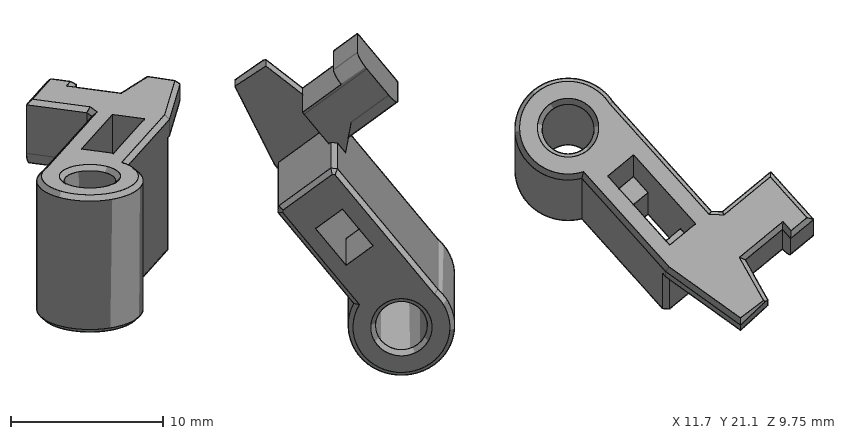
import cadquery as cq
import math

height = 9.75
chamfer = 0.32

eye_radius = 3.5
bore_diameter = 3.4

body_left = -3.45
body_right = 1.52
body_end = 11.6

arm_tip = -8.18
arm_front = 10.9
arm_back = 15.22
arm_depth = 4.76
arm_fillet = 1.0
lip_right = -6.18
shelf_back = 14.4
gusset_x = -3.98
gusset_y = 10.41

finger_thickness = 1.5
finger_foot = -2.97
finger_left = -2.3
finger_left_end = 17.45
finger_right = 0.2
finger_end = 17.58
finger_bevel_left = 0.08

slot_left = -2.05
slot_right = 0.2
slot_start = 4.22
slot_end = 10.45
window_start = 5.67
window_end = 8.94
slot_depth = height / 2


def box(x_range, y_range, z_range):
    """Box spanning the given (low, high) ranges."""
    lows, highs = zip(x_range, y_range, z_range)
    sizes = [high - low for low, high in zip(lows, highs)]
    return cq.Workplane("XY").box(*sizes, centered=False).translate(lows)


def plate(points, bottom):
    """Polygon extruded from the given level up to the top face."""
    return cq.Workplane("XY").workplane(offset=bottom).polyline(points).close().extrude(height - bottom)


def make_body():
    """Full-height bar running into the round pivot eye, bevelled at the bottom."""
    left_join_y = math.sqrt(eye_radius**2 - body_left**2)
    right_join_y = math.sqrt(eye_radius**2 - body_right**2)
    outline = (
        cq.Workplane("XY")
        .moveTo(body_left, left_join_y)
        .threePointArc((0, -eye_radius), (body_right, right_join_y))
        .lineTo(body_right, body_end)
        .lineTo(body_left, body_end)
        .close()
    )
    body = outline.extrude(height)
    body = body.edges("|Z and >Y").chamfer(chamfer)
    return body.faces("<Z").edges().chamfer(chamfer)


def make_arm():
    """Side arm with rounded lower edges, a lip and an angled gusset to the body."""
    bottom = height - arm_depth
    arm = box((arm_tip, finger_foot), (arm_front, arm_back), (bottom, height))
    arm = arm.faces("<Z").edges("|X").fillet(arm_fillet)
    arm = arm.cut(box((lip_right, finger_foot), (shelf_back, arm_back), (bottom, height)))
    slope = (arm_front - gusset_y) / (body_left - gusset_x)
    gusset_back = arm_front + arm_fillet
    gusset = plate(
        [
            (body_left, gusset_y),
            (gusset_x - arm_fillet / slope, gusset_back),
            (finger_foot, gusset_back),
            (finger_foot, gusset_y),
        ],
        bottom,
    )
    return arm.union(gusset)


def make_finger():
    """Thin tapered finger, flush with the top face."""
    root = arm_front
    return plate(
        [
            (finger_foot, root),
            (finger_foot, shelf_back),
            (finger_left, finger_left_end),
            (finger_right, finger_end),
            (body_right, body_end),
            (body_right, root),
        ],
        height - finger_thickness,
    )


def bevel_triangle(x, end_y, size):
    """Cross-section wire of the finger's end bevel at the given X."""
    corners = [
        cq.Vector(x, end_y, height),
        cq.Vector(x, end_y - size, height),
        cq.Vector(x, end_y, height - size),
    ]
    return cq.Wire.makePolygon(corners, close=True)


def bevel_finger_end(part):
    """Bevel the finger's end, narrowing toward its left corner."""
    left = bevel_triangle(finger_left, finger_left_end, finger_bevel_left)
    right = bevel_triangle(finger_right, finger_end, chamfer)
    return part.cut(cq.Workplane(obj=cq.Solid.makeLoft([left, right], True)))


def cut_slot(part):
    """Slot that narrows to a through window, leaving a ledge at each end."""
    slot_width = (slot_left, slot_right)
    pocket = box(slot_width, (slot_start, slot_end), (height - slot_depth, height))
    window = box(slot_width, (window_start, window_end), (0, height))
    return part.cut(pocket).cut(window)


def cut_bore(part):
    """Pivot bore, bevelled at both ends."""
    radius = bore_diameter / 2
    mouth = radius + chamfer
    profile = [
        (0, 0),
        (mouth, 0),
        (radius, chamfer),
        (radius, height - chamfer),
        (mouth, height),
        (0, height),
    ]
    bore = cq.Workplane("XZ").polyline(profile).close().revolve(360, (0, 0, 0), (0, 1, 0))
    return part.cut(bore)


solid = make_body().union(make_arm()).union(make_finger()).clean()
solid = solid.faces(">Z").edges("not >Y").chamfer(chamfer)
solid = bevel_finger_end(solid)
result = cut_bore(cut_slot(solid))